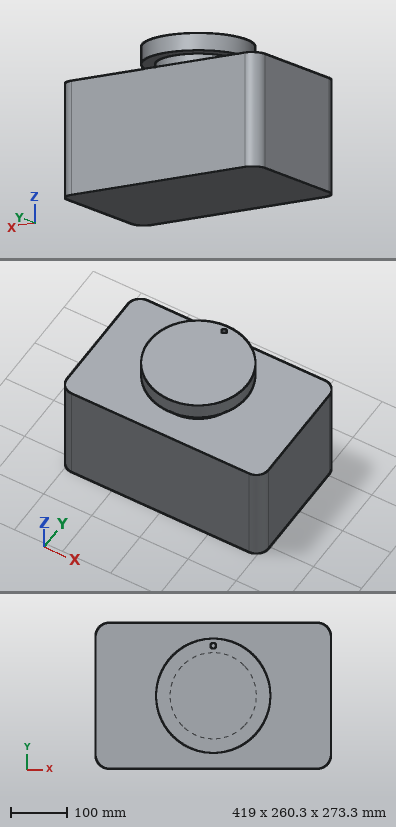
import cadquery as cq

body_length = 419.0
body_width = 260.3
body_height = 209.5
corner_radius = 25.5

neck_diameter = 153.5
cap_diameter = 203.3
total_height = 273.3
knob_height = total_height - body_height
neck_height = knob_height / 2
cap_height = knob_height - neck_height

marker_diameter = 10.0
marker_offset = 89.0
marker_depth = cap_height / 2

body = (
    cq.Workplane("XY")
    .box(body_length, body_width, body_height, centered=(True, True, False))
    .edges("|Z")
    .fillet(corner_radius)
)

neck = cq.Workplane("XY", origin=(0, 0, body_height)).circle(neck_diameter / 2).extrude(neck_height)
cap = neck.faces(">Z").workplane().circle(cap_diameter / 2).extrude(cap_height)

marker_hole = (
    cq.Workplane("XY", origin=(0, marker_offset, total_height))
    .circle(marker_diameter / 2)
    .extrude(-marker_depth)
)

result = body.union(cap).cut(marker_hole)